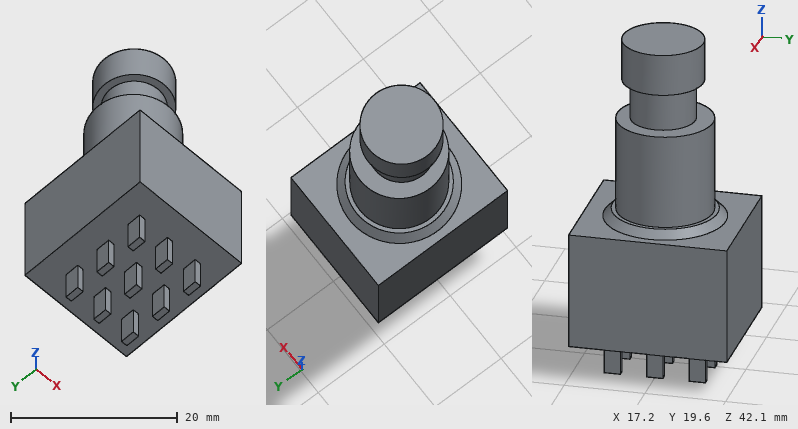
import cadquery as cq

body_length_x = 17.2
body_length_y = 19.6
body_height = 14.6

collar_base_diameter = 15.0
collar_top_diameter = 13.0
collar_height = 1.0

bushing_diameter = 11.91
bushing_height = 11.8

plunger_offset_x = -0.1
plunger_offset_y = -0.27
neck_diameter = 8.0
neck_height = 5.0
cap_diameter = 10.0
cap_height = 5.2

pin_count_x = 3
pin_count_y = 3
pin_pitch_x = 4.7
pin_pitch_y = 5.27
pin_thickness_x = 0.9
pin_width_y = 2.0
pin_length = 4.5

collar_top_z = collar_height
bushing_top_z = collar_top_z + bushing_height
neck_top_z = bushing_top_z + neck_height


def make_body():
    return cq.Workplane("XY").box(
        body_length_x, body_length_y, body_height, centered=(True, True, False)
    ).translate((0, 0, -body_height))


def make_collar():
    return (
        cq.Workplane("XY")
        .circle(collar_base_diameter / 2)
        .workplane(offset=collar_height)
        .circle(collar_top_diameter / 2)
        .loft()
    )


def make_cylinder(diameter, height, base_z, center_x=0, center_y=0):
    return (
        cq.Workplane("XY")
        .center(center_x, center_y)
        .circle(diameter / 2)
        .extrude(height)
        .translate((0, 0, base_z))
    )


def make_plunger():
    neck = make_cylinder(neck_diameter, neck_height, bushing_top_z, plunger_offset_x, plunger_offset_y)
    cap = make_cylinder(cap_diameter, cap_height, neck_top_z, plunger_offset_x, plunger_offset_y)
    return neck.union(cap)


def make_pins():
    return (
        cq.Workplane("XY", origin=(0, 0, -body_height))
        .rarray(pin_pitch_x, pin_pitch_y, pin_count_x, pin_count_y)
        .rect(pin_thickness_x, pin_width_y)
        .extrude(-pin_length)
    )


result = (
    make_body()
    .union(make_collar())
    .union(make_cylinder(bushing_diameter, bushing_height, collar_top_z))
    .union(make_plunger())
    .union(make_pins())
)